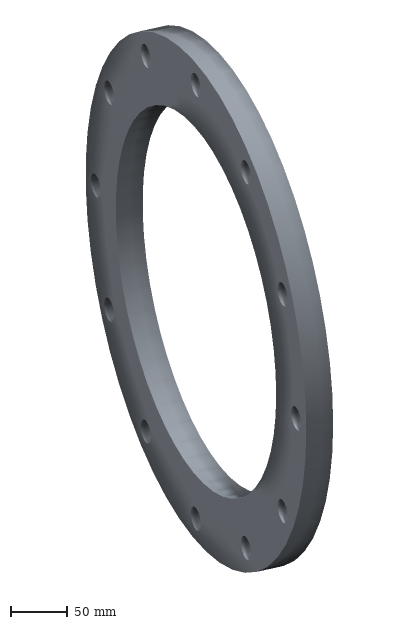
import cadquery as cq

outer_diameter = 490.0
bore_diameter = 356.0
thickness = 26.0

bolt_circle_diameter = 445.0
bolt_hole_diameter = 22.0
bolt_count = 12


def make_ring():
    """Plain ring with its back face on the XZ plane."""
    return (
        cq.Workplane("XZ")
        .circle(outer_diameter / 2)
        .circle(bore_diameter / 2)
        .extrude(thickness)
    )


def make_bolt_holes():
    """Cylinders that pass through the full thickness of the ring."""
    return (
        cq.Workplane("XZ")
        .polarArray(bolt_circle_diameter / 2, 0, 360, bolt_count)
        .circle(bolt_hole_diameter / 2)
        .extrude(thickness)
    )


result = make_ring().cut(make_bolt_holes())